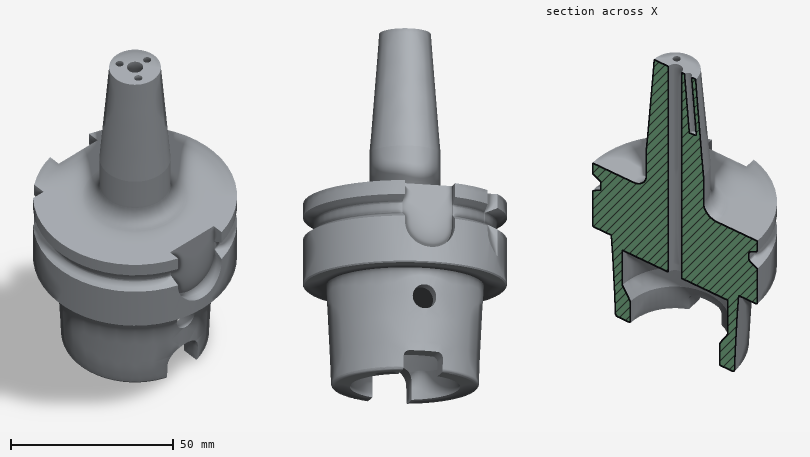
import cadquery as cq
import math


FLANGE_DIA = 63.0
FLANGE_HEIGHT = 26.0
FLANGE_CHAMFER = 0.4
GROOVE_FLOOR_DIA = 56.7
GROOVE_BOTTOM = 14.7
GROOVE_TOP = 21.6
GROOVE_FLANK_ANGLE = 60.0
GROOVE_FILLET = 0.5

TOP_Z = 80.0
TIP_DIA = 16.0
NECK_DIA = 22.0
NOSE_TAPER_LENGTH = 38.0
NECK_FILLET = 5.0

SHANK_LENGTH = 32.0
SHANK_TOP_DIA = 48.8
SHANK_TAPER = 0.1
SHANK_EDGE_FILLET = 1.0
MOUTH_DIA = 34.0
RECESS_DIA = 40.0
RECESS_BOTTOM = -18.0
RECESS_TOP = -4.0
CLAMP_CONE_ANGLE = 30.0

BORE_DIA = 5.0
COOLANT_DIA = 2.5
COOLANT_COUNT = 3
COOLANT_CIRCLE_RADIUS = 5.0
COOLANT_FIRST_ANGLE = 90.0
COOLANT_DEPTH = 23.0

SLOT_FLOOR_X = 26.5
LEFT_SLOT_WIDTH = 16.0
RIGHT_SLOT_WIDTH = 18.0
SLOT_BOTTOM_Z = 5.0
NOTCH_CORNER = 20.0
NOTCH_RADIUS = 8.0
NOTCH_ARC_Z = 13.2

CROSS_HOLE_DIA = 7.5
CROSS_HOLE_Z = -8.9
KEY_WIDTH = 12.5
LEFT_KEY_TOP = -26.0
LEFT_KEY_RADIUS = 1.75
RIGHT_KEY_TOP = -20.0

FLANGE_RADIUS = FLANGE_DIA / 2
SHANK_END_RADIUS = (SHANK_TOP_DIA - SHANK_TAPER * SHANK_LENGTH) / 2


def turned_body():
    """Solid of revolution: shank, flange, neck and tapered nose."""
    neck_radius = NECK_DIA / 2
    fillet_middle = NECK_FILLET * (1 - math.sqrt(0.5))
    body = (
        cq.Workplane("XZ")
        .moveTo(0, -SHANK_LENGTH)
        .lineTo(SHANK_END_RADIUS, -SHANK_LENGTH)
        .lineTo(SHANK_TOP_DIA / 2, 0)
        .lineTo(FLANGE_RADIUS - FLANGE_CHAMFER, 0)
        .lineTo(FLANGE_RADIUS, FLANGE_CHAMFER)
        .lineTo(FLANGE_RADIUS, FLANGE_HEIGHT)
        .lineTo(neck_radius + NECK_FILLET, FLANGE_HEIGHT)
        .threePointArc(
            (neck_radius + fillet_middle, FLANGE_HEIGHT + fillet_middle),
            (neck_radius, FLANGE_HEIGHT + NECK_FILLET),
        )
        .lineTo(neck_radius, TOP_Z - NOSE_TAPER_LENGTH)
        .lineTo(TIP_DIA / 2, TOP_Z)
        .lineTo(0, TOP_Z)
        .close()
        .revolve(360, (0, 0, 0), (0, 1, 0))
    )
    return body.faces("<Z").edges().fillet(SHANK_EDGE_FILLET)


def gripper_groove():
    """Ring with sloped flanks and rounded floor corners, cut around the flange."""
    floor_radius = GROOVE_FLOOR_DIA / 2
    flank_height = (FLANGE_RADIUS - floor_radius) / math.tan(math.radians(GROOVE_FLANK_ANGLE))
    profile = (
        cq.Workplane("XZ")
        .moveTo(FLANGE_RADIUS, GROOVE_BOTTOM)
        .lineTo(floor_radius, GROOVE_BOTTOM + flank_height)
        .lineTo(floor_radius, GROOVE_TOP - flank_height)
        .lineTo(FLANGE_RADIUS, GROOVE_TOP)
        .close()
    )
    ring = profile.revolve(360, (0, 0, 0), (0, 1, 0))
    floor_corners = ring.edges(cq.selectors.RadiusNthSelector(0))
    return floor_corners.fillet(GROOVE_FILLET)


def shank_cavity():
    """Round mouth that widens through the clamping cone into a recess."""
    cone_height = (RECESS_DIA - MOUTH_DIA) / 2 / math.tan(math.radians(CLAMP_CONE_ANGLE))
    return (
        cq.Workplane("XZ")
        .moveTo(0, -SHANK_LENGTH)
        .lineTo(MOUTH_DIA / 2, -SHANK_LENGTH)
        .lineTo(MOUTH_DIA / 2, RECESS_BOTTOM - cone_height)
        .lineTo(RECESS_DIA / 2, RECESS_BOTTOM)
        .lineTo(RECESS_DIA / 2, RECESS_TOP)
        .lineTo(0, RECESS_TOP)
        .close()
        .revolve(360, (0, 0, 0), (0, 1, 0))
    )


def central_bore():
    """Bore along the axis from the tip into the cavity."""
    return cq.Workplane("XY", origin=(0, 0, TOP_Z)).circle(BORE_DIA / 2).extrude(RECESS_TOP - TOP_Z)


def coolant_holes():
    """Blind holes around the bore, leaning outwards parallel to the nose taper."""
    slope = (NECK_DIA - TIP_DIA) / 2 / NOSE_TAPER_LENGTH
    start = cq.Vector(COOLANT_CIRCLE_RADIUS, 0, TOP_Z)
    direction = cq.Vector(slope, 0, -1).normalized()
    lead = COOLANT_DIA
    hole = cq.Solid.makeCylinder(
        COOLANT_DIA / 2, COOLANT_DEPTH + lead, start - direction * lead, direction
    )
    holes = cq.Workplane("XY")
    for index in range(COOLANT_COUNT):
        angle = COOLANT_FIRST_ANGLE + index * 360 / COOLANT_COUNT
        holes = holes.add(hole.rotate(cq.Vector(0, 0, 0), cq.Vector(0, 0, 1), angle))
    return holes.combine()


def radial_slot(side, width, arc_z, floor_x, centre_y):
    """Slot on one X side, open at the flange top, with a half-round lower end."""
    half_width = width / 2
    return (
        cq.Workplane("YZ", origin=(side * floor_x, 0, 0))
        .moveTo(centre_y - half_width, FLANGE_HEIGHT)
        .lineTo(centre_y - half_width, arc_z)
        .threePointArc((centre_y, arc_z - half_width), (centre_y + half_width, arc_z))
        .lineTo(centre_y + half_width, FLANGE_HEIGHT)
        .close()
        .extrude(side * FLANGE_RADIUS)
    )


def driving_slot(side, width):
    return radial_slot(side, width, SLOT_BOTTOM_Z + width / 2, SLOT_FLOOR_X, 0)


def orientation_notch():
    """Corner notch whose inner side wall runs out along a round lower end."""
    centre_y = -NOTCH_CORNER - NOTCH_RADIUS
    return radial_slot(-1, 2 * NOTCH_RADIUS, NOTCH_ARC_Z, NOTCH_CORNER, centre_y)


def cross_hole():
    """Round hole along X through both walls of the shank."""
    return (
        cq.Workplane("YZ", origin=(-FLANGE_RADIUS, 0, 0))
        .center(0, CROSS_HOLE_Z)
        .circle(CROSS_HOLE_DIA / 2)
        .extrude(FLANGE_DIA)
    )


def left_key_slot():
    """Square key slot through the -X wall, open at the shank end, with rounded corners."""
    height = LEFT_KEY_TOP + SHANK_LENGTH
    return (
        cq.Workplane("XY", origin=(-FLANGE_RADIUS / 2, 0, -SHANK_LENGTH))
        .box(FLANGE_RADIUS, KEY_WIDTH, height, centered=(True, True, False))
        .edges("|X and >Z")
        .fillet(LEFT_KEY_RADIUS)
    )


def right_key_slot():
    """Key slot through the +X wall, open at the shank end, with a half-round top."""
    arc_z = RIGHT_KEY_TOP - KEY_WIDTH / 2
    return (
        cq.Workplane("YZ")
        .moveTo(-KEY_WIDTH / 2, -SHANK_LENGTH)
        .lineTo(-KEY_WIDTH / 2, arc_z)
        .threePointArc((0, RIGHT_KEY_TOP), (KEY_WIDTH / 2, arc_z))
        .lineTo(KEY_WIDTH / 2, -SHANK_LENGTH)
        .close()
        .extrude(FLANGE_RADIUS)
    )


result = (
    turned_body()
    .cut(gripper_groove())
    .cut(shank_cavity())
    .cut(central_bore())
    .cut(coolant_holes())
    .cut(driving_slot(-1, LEFT_SLOT_WIDTH))
    .cut(driving_slot(1, RIGHT_SLOT_WIDTH))
    .cut(orientation_notch())
    .cut(cross_hole())
    .cut(left_key_slot())
    .cut(right_key_slot())
)